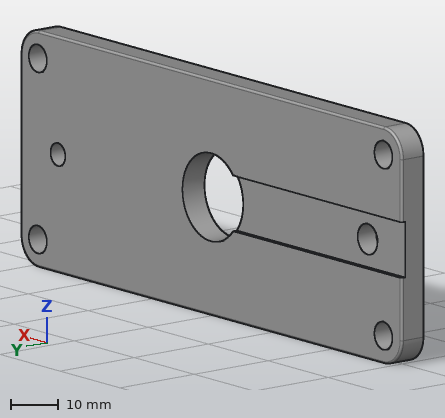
import cadquery as cq

LENGTH = 127.0
THICKNESS = 6.0
HEIGHT = 51.0
CORNER_RADIUS = 6.0
BACK_FILLET = 0.5
BACK_Y = THICKNESS / 2

CENTER_HOLE_DIAMETER = 19.0
CORNER_HOLE_DIAMETER = 6.0
CORNER_HOLE_INSET = 6.0
CORNER_HOLE_PITCH_X = 115.2
LEFT_HOLE_DIAMETER = 6.6
RIGHT_HOLE_DIAMETER = 4.92
SIDE_HOLE_OFFSET = 51.0

CHANNEL_WIDTH = 12.0
CHANNEL_DEPTH = 1.0


def make_plate():
    """Rounded plate standing in the XZ plane, with a small round along the edge of its back face."""
    return (
        cq.Workplane("XZ", origin=(0, BACK_Y, 0))
        .rect(LENGTH, HEIGHT)
        .extrude(THICKNESS)
        .edges("|Y")
        .fillet(CORNER_RADIUS)
        .faces(">Y")
        .fillet(BACK_FILLET)
    )


def through_holes(points, diameter):
    """Cylinders through the full thickness at the given (x, z) points."""
    return (
        cq.Workplane("XZ", origin=(0, BACK_Y, 0))
        .pushPoints(points)
        .circle(diameter / 2)
        .extrude(THICKNESS)
    )


def make_channel():
    """Straight channel open at the -X end and running into the center hole."""
    return (
        cq.Workplane("XZ", origin=(-LENGTH / 4, BACK_Y, 0))
        .rect(LENGTH / 2, CHANNEL_WIDTH)
        .extrude(CHANNEL_DEPTH)
    )


left_corner_x = -LENGTH / 2 + CORNER_HOLE_INSET
right_corner_x = left_corner_x + CORNER_HOLE_PITCH_X
corner_z = HEIGHT / 2 - CORNER_HOLE_INSET
corner_points = [(x, z) for x in (left_corner_x, right_corner_x) for z in (-corner_z, corner_z)]

result = (
    make_plate()
    .cut(through_holes([(0, 0)], CENTER_HOLE_DIAMETER))
    .cut(through_holes(corner_points, CORNER_HOLE_DIAMETER))
    .cut(through_holes([(-SIDE_HOLE_OFFSET, 0)], LEFT_HOLE_DIAMETER))
    .cut(through_holes([(SIDE_HOLE_OFFSET, 0)], RIGHT_HOLE_DIAMETER))
    .cut(make_channel())
)